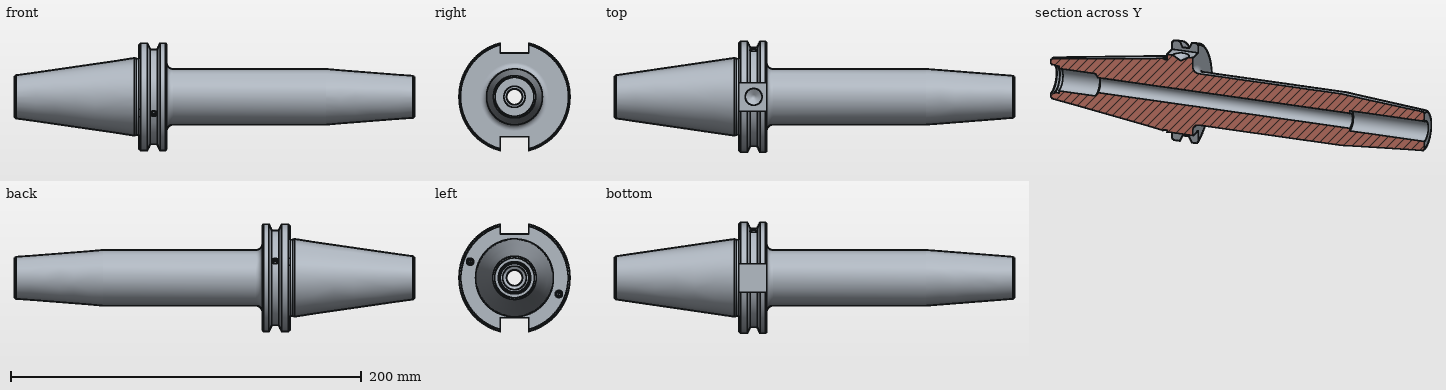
import cadquery as cq
import math

total_length = 228.2
gauge_x = 68.5
gauge_diameter = 44.5
taper_slope = 7 / 48
taper_end_radius = gauge_diameter / 2 - gauge_x * taper_slope
taper_end_chamfer = 1.0

neck_diameter = 43.5
neck_start_x = 69.6

flange_diameter = 63.5
flange_start_x = 71.0
flange_width = 16.0
flange_end_x = flange_start_x + flange_width
flange_front_chamfer = 1.1
flange_back_chamfer = 1.0
groove_x = 79.5
groove_floor_diameter = 56.5
groove_floor_width = 3.9
groove_mouth_width = 7.3

shank_diameter = 32.0
shank_fillet = 3.5
nose_start_x = 177.8
nose_angle = 4.5
nose_chamfer = 1.0
nose_end_radius = shank_diameter / 2 - (total_length - nose_start_x) * math.tan(math.radians(nose_angle))

through_diameter = 9.0
mouth_diameter = 16.2
mouth_depth = 5.0
pilot_diameter = 13.5
pilot_depth = 27.5
drill_point_angle = 120
relief_diameter = 17.1
relief_depth = 2.5
mouth_chamfer = 0.7
tool_bore_diameter = 12.0
tool_bore_depth = 45.6

slot_width = 16.2
top_slot_floor = 25.0
bottom_slot_floor = 22.8
dimple_diameter = 9.5
dimple_tip_angle = 120

coolant_diameter = 4.0
coolant_inner_diameter = 2.5
coolant_circle_radius = 27.0
coolant_angle = 20
coolant_step_depth = 2.3
coolant_length = groove_x - flange_start_x
outlet_diameter = 3.2
outlet_step_depth = 1.4
outlet_depth = 3.7


def turned_body():
    taper_chamfer_radius = taper_end_radius + taper_end_chamfer * taper_slope
    nose_chamfer_radius = nose_end_radius + nose_chamfer * math.tan(math.radians(nose_angle))
    flange_radius = flange_diameter / 2
    shank_radius = shank_diameter / 2
    return (
        cq.Workplane("XY")
        .moveTo(0, 0)
        .lineTo(0, taper_end_radius - taper_end_chamfer)
        .lineTo(taper_end_chamfer, taper_chamfer_radius)
        .lineTo(gauge_x, gauge_diameter / 2)
        .lineTo(neck_start_x, neck_diameter / 2)
        .lineTo(flange_start_x, neck_diameter / 2)
        .lineTo(flange_start_x, flange_radius - flange_front_chamfer)
        .lineTo(flange_start_x + flange_front_chamfer, flange_radius)
        .lineTo(groove_x - groove_mouth_width / 2, flange_radius)
        .lineTo(groove_x - groove_floor_width / 2, groove_floor_diameter / 2)
        .lineTo(groove_x + groove_floor_width / 2, groove_floor_diameter / 2)
        .lineTo(groove_x + groove_mouth_width / 2, flange_radius)
        .lineTo(flange_end_x - flange_back_chamfer, flange_radius)
        .lineTo(flange_end_x, flange_radius - flange_back_chamfer)
        .lineTo(flange_end_x, shank_radius + shank_fillet)
        .radiusArc((flange_end_x + shank_fillet, shank_radius), -shank_fillet)
        .lineTo(nose_start_x, shank_radius)
        .lineTo(total_length - nose_chamfer, nose_chamfer_radius)
        .lineTo(total_length, nose_end_radius - nose_chamfer)
        .lineTo(total_length, 0)
        .close()
        .revolve(360, (0, 0, 0), (1, 0, 0))
    )


def axial_bore(start_x, length, diameter):
    return cq.Workplane("YZ", origin=(start_x, 0, 0)).circle(diameter / 2).extrude(length)


def mouth_cone():
    radius = relief_diameter / 2 + mouth_chamfer
    direction = cq.Vector(1, 0, 0)
    return cq.Workplane(cq.Solid.makeCone(radius, radius - mouth_chamfer, mouth_chamfer, cq.Vector(), direction))


def pilot_point():
    """The conical end of the pilot bore, narrowing into the through bore."""
    radius = pilot_diameter / 2
    length = radius / math.tan(math.radians(drill_point_angle / 2))
    start = cq.Vector(pilot_depth, 0, 0)
    return cq.Workplane(cq.Solid.makeCone(radius, 0, length, start, cq.Vector(1, 0, 0)))


def drive_slot(floor_height, side):
    height = flange_diameter
    center = ((flange_start_x + flange_end_x) / 2, 0, side * (floor_height + height / 2))
    return cq.Workplane("XY").box(flange_width, slot_width, height).translate(center)


def locating_dimple():
    radius = dimple_diameter / 2
    depth = radius / math.tan(math.radians(dimple_tip_angle / 2))
    top = cq.Vector(groove_x, 0, top_slot_floor)
    return cq.Workplane(cq.Solid.makeCone(radius, 0, depth, top, cq.Vector(0, 0, -1)))


def coolant_passage(side):
    """A face hole and its groove outlet, built on the +Y axis and turned to their angle."""
    face_hole = axial_bore(flange_start_x, coolant_step_depth, coolant_diameter)
    face_hole = face_hole.union(axial_bore(flange_start_x, coolant_length, coolant_inner_diameter))
    face_hole = face_hole.translate((0, coolant_circle_radius, 0))
    outlet_height = groove_floor_diameter / 2
    outlet_plane = cq.Workplane("XZ", origin=(groove_x, outlet_height, 0))
    outlet = outlet_plane.circle(outlet_diameter / 2).extrude(outlet_step_depth, both=True)
    outlet = outlet.union(outlet_plane.circle(coolant_inner_diameter / 2).extrude(outlet_depth))
    turn = coolant_angle if side > 0 else coolant_angle + 180
    return face_hole.union(outlet).rotate((0, 0, 0), (1, 0, 0), turn)


result = turned_body()

result = result.cut(axial_bore(0, total_length, through_diameter))
result = result.cut(axial_bore(0, pilot_depth, pilot_diameter))
result = result.cut(pilot_point())
result = result.cut(axial_bore(0, mouth_depth, mouth_diameter))
result = result.cut(axial_bore(0, relief_depth, relief_diameter))
result = result.cut(mouth_cone())
result = result.cut(axial_bore(total_length - tool_bore_depth, tool_bore_depth, tool_bore_diameter))

result = result.cut(drive_slot(top_slot_floor, 1))
result = result.cut(drive_slot(bottom_slot_floor, -1))
result = result.cut(locating_dimple())

for side in (1, -1):
    result = result.cut(coolant_passage(side))